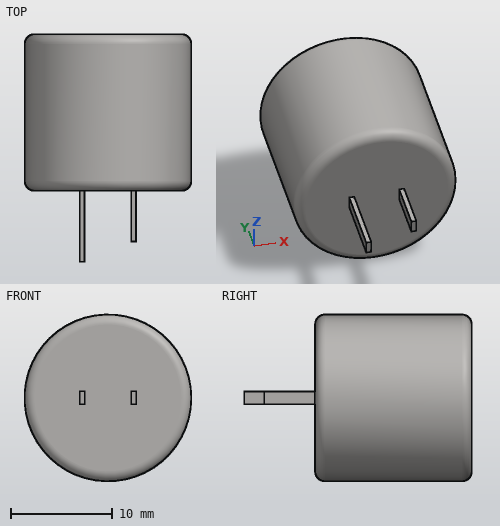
import cadquery as cq

can_diameter = 16.5
can_length = 15.5
edge_radius = 1.0

lead_pitch = 5.08
lead_width = 0.5
lead_height = 1.3
long_lead_length = 7.0
short_lead_length = 5.0


def make_can():
    """Cylinder from Y = 0 to Y = can_length with both rims rounded."""
    can = cq.Workplane("XZ").circle(can_diameter / 2).extrude(-can_length)
    return can.edges("%CIRCLE").fillet(edge_radius)


def make_lead(x_center, length):
    """Rectangular lead standing on the lead face."""
    return cq.Workplane("XZ").center(x_center, 0).rect(lead_width, lead_height).extrude(length)


long_lead = make_lead(-lead_pitch / 2, long_lead_length)
short_lead = make_lead(lead_pitch / 2, short_lead_length)

result = make_can().union(long_lead).union(short_lead)